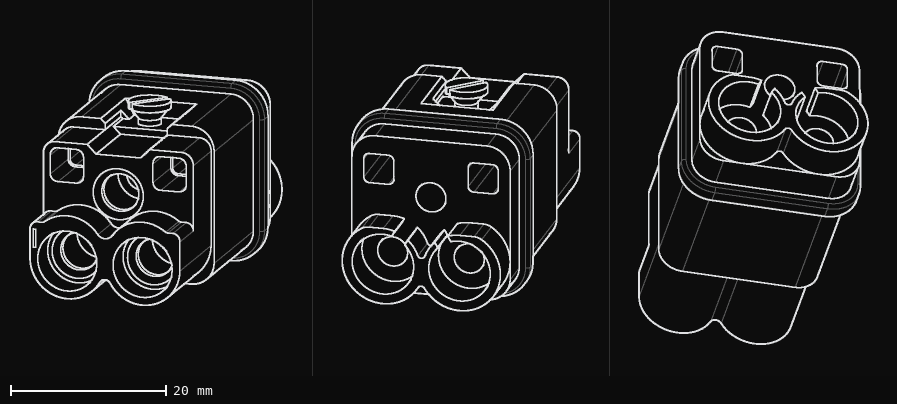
import cadquery as cq
import math

TOWER_FRONT_Y = 0.0
NECK_FRONT_Y = 5.6
BODY_FRONT_Y = 13.1
FLANGE_FRONT_Y = 29.6
FLANGE_LENGTH = 2.5
BODY_REAR_Y = 36.7
SHROUD_REAR_Y = 41.6

BODY_WIDTH = 21.1
BODY_CORNER_R = 3.1
FLANGE_WIDTH = 23.7
FLANGE_CORNER_R = BODY_CORNER_R + (FLANGE_WIDTH - BODY_WIDTH) / 2
FLANGE_EDGE_R = 0.5

CONTACT_X = 5.1
CONTACT_Z = -5.1
EARTH_Z = 2.8

NECK_HALF_WIDTH = 10.15
NECK_TOP_Z = 9.1
NECK_CORNER_R = 1.6
TOWER_R = NECK_HALF_WIDTH - CONTACT_X
TOWER_CROWN_CENTRE_Z = -4.1
SHOULDER_Z = -0.2
SHOULDER_CORNER_R = 1.0
SHOULDER_VALLEY_R = 0.5
TOP_VALLEY_R = 1.2
BOTTOM_VALLEY_R = 0.8

TOWER_BORE_D = 8.0
TOWER_BORE_FLOOR_Y = 4.2
FUNNEL_MOUTH_D = 6.8
THROAT_D = 5.0
FUNNEL_DEPTH = 0.85
THROAT_DEPTH = 0.9
CHAMBER_D = 6.4
CHAMBER_DEPTH = 8.0
THROUGH_D = 4.0

WINDOW_X = 6.95
WINDOW_Z = 6.05
WINDOW_MOUTH_WIDTH = 4.5
WINDOW_MOUTH_CORNER_R = 1.0
WINDOW_MOUTH_DEPTH = 7.5
WINDOW_WIDTH = 4.0
WINDOW_CORNER_R = 0.75

RECESS_REAR_Y = 23.55
RECESS_FLOOR_Z = 8.85
RECESS_FLOOR_HALF_WIDTH = 3.1
CHANNEL_REAR_Y = 19.75
CHANNEL_LEDGE_Y = 15.8
CHANNEL_FLOOR_Z = 7.9
CHANNEL_HALF_WIDTH = 4.2

SCREW_Y = 18.8
SCREW_TOP_Z = FLANGE_WIDTH / 2
SCREW_HEAD_D = 5.5
SCREW_HEAD_HEIGHT = 0.9
SCREW_CONE_D = 5.0
SCREW_CONE_HEIGHT = 1.35
SCREW_SHANK_D = 3.0
SCREW_EMBED = 0.5
SCREW_SLOT_WIDTH = 0.8
SCREW_SLOT_ANGLE = 45

SHROUD_R = BODY_WIDTH / 2 - CONTACT_X
SHROUD_TOP_Z = -0.2
SHROUD_EDGE_R = 1.9
SHROUD_INNER_R = SHROUD_TOP_Z - CONTACT_Z
SHROUD_VALLEY_R = 0.5
SHROUD_BORE_D = 8.2
SHROUD_SLOT_WIDTH = 2.0
SHROUD_SLOT_TILT = 30.5

BAR_X = -9.5
BAR_Z = -2.4
BAR_WIDTH = 0.35
BAR_LENGTH = 2.4
BAR_HEIGHT = 0.15

CUT_MARGIN = 2.0


def plane_at(y):
    """Sketch plane at station y: local x is X, local y is Z, extrusion runs toward +Y."""
    return cq.Workplane("XZ", origin=(0, y, 0))


def prism(sketch, length):
    return sketch.extrude(-length)


def cylinder(x, z, diameter, y_start, y_end):
    return prism(plane_at(y_start).center(x, z).circle(diameter / 2), y_end - y_start)


def rounded_square(x, z, width, corner_r, y_start, y_end):
    block = prism(plane_at(y_start).center(x, z).rect(width, width), y_end - y_start)
    return block.edges("|Y").fillet(corner_r)


def on_circle(centre, radius, degrees):
    """Point of a circle at an angle measured counterclockwise from +X."""
    angle = math.radians(degrees)
    return (centre[0] + radius * math.cos(angle), centre[1] + radius * math.sin(angle))


def valley(lobe_centre_x, lobe_centre_z, lobe_r, valley_r, side):
    """Fillet on the centre line between two mirrored lobes; side is +1 above, -1 below.

    Returns the tangent point on the +X lobe and the middle point of the fillet.
    """
    reach = lobe_r + valley_r
    rise = math.sqrt(reach**2 - lobe_centre_x**2)
    centre_z = lobe_centre_z + side * rise
    tangent = (lobe_centre_x * valley_r / reach, centre_z - side * rise * valley_r / reach)
    return tangent, (0, centre_z - side * valley_r)


def mirrored(point):
    return (-point[0], point[1])


def make_body():
    body = rounded_square(0, 0, BODY_WIDTH, BODY_CORNER_R, BODY_FRONT_Y, BODY_REAR_Y)
    flange_rear_y = FLANGE_FRONT_Y + FLANGE_LENGTH
    flange = rounded_square(0, 0, FLANGE_WIDTH, FLANGE_CORNER_R, FLANGE_FRONT_Y, flange_rear_y)
    flange = flange.faces("<Y or >Y").edges().fillet(FLANGE_EDGE_R)
    return body.union(flange)


def make_towers():
    """Twin-lobed outline with a square shoulder on each outer side, running back into the body."""
    crown = (CONTACT_X, TOWER_CROWN_CENTRE_Z)
    belly = (CONTACT_X, CONTACT_Z)
    top_tangent, top_middle = valley(*crown, TOWER_R, TOP_VALLEY_R, 1)
    bottom_tangent, bottom_middle = valley(*belly, TOWER_R, BOTTOM_VALLEY_R, -1)

    fillet_z = SHOULDER_Z + SHOULDER_VALLEY_R
    reach = TOWER_R + SHOULDER_VALLEY_R
    fillet_x = CONTACT_X + math.sqrt(reach**2 - (fillet_z - TOWER_CROWN_CENTRE_Z) ** 2)
    fillet_angle = math.degrees(math.atan2(fillet_z - TOWER_CROWN_CENTRE_Z, fillet_x - CONTACT_X))
    crown_end = on_circle(crown, TOWER_R, fillet_angle)
    fillet_middle_angle = (fillet_angle - 270) / 2
    fillet_middle = on_circle((fillet_x, fillet_z), SHOULDER_VALLEY_R, fillet_middle_angle)
    corner = (NECK_HALF_WIDTH - SHOULDER_CORNER_R, SHOULDER_Z - SHOULDER_CORNER_R)
    corner_middle = on_circle(corner, SHOULDER_CORNER_R, 45)

    outline = (
        plane_at(TOWER_FRONT_Y)
        .moveTo(*mirrored(top_tangent))
        .threePointArc(top_middle, top_tangent)
        .threePointArc((CONTACT_X, TOWER_CROWN_CENTRE_Z + TOWER_R), crown_end)
        .threePointArc(fillet_middle, (fillet_x, SHOULDER_Z))
        .lineTo(corner[0], SHOULDER_Z)
        .threePointArc(corner_middle, (NECK_HALF_WIDTH, corner[1]))
        .lineTo(NECK_HALF_WIDTH, CONTACT_Z)
        .threePointArc((CONTACT_X, CONTACT_Z - TOWER_R), bottom_tangent)
        .threePointArc(bottom_middle, mirrored(bottom_tangent))
        .threePointArc((-CONTACT_X, CONTACT_Z - TOWER_R), (-NECK_HALF_WIDTH, CONTACT_Z))
        .lineTo(-NECK_HALF_WIDTH, corner[1])
        .threePointArc(mirrored(corner_middle), (-corner[0], SHOULDER_Z))
        .lineTo(-fillet_x, SHOULDER_Z)
        .threePointArc(mirrored(fillet_middle), mirrored(crown_end))
        .threePointArc((-CONTACT_X, TOWER_CROWN_CENTRE_Z + TOWER_R), mirrored(top_tangent))
        .close()
    )
    return prism(outline, BODY_FRONT_Y - TOWER_FRONT_Y)


def make_neck():
    """Upper block between the tower step and the body; the towers close it below."""
    height = NECK_TOP_Z - CONTACT_Z
    centre_z = (NECK_TOP_Z + CONTACT_Z) / 2
    outline = plane_at(NECK_FRONT_Y).center(0, centre_z).rect(2 * NECK_HALF_WIDTH, height)
    neck = prism(outline, BODY_FRONT_Y - NECK_FRONT_Y)
    return neck.edges("|Y and >Z").fillet(NECK_CORNER_R)


def make_shroud():
    """Twin-lobed rear shroud with a flat top near each outer side."""
    lobe = (CONTACT_X, CONTACT_Z)
    top_tangent, top_middle = valley(*lobe, SHROUD_INNER_R, SHROUD_VALLEY_R, 1)
    bottom_tangent, bottom_middle = valley(*lobe, SHROUD_R, SHROUD_VALLEY_R, -1)

    edge_z = SHROUD_TOP_Z - SHROUD_EDGE_R
    reach = SHROUD_R - SHROUD_EDGE_R
    edge_x = CONTACT_X + math.sqrt(reach**2 - (edge_z - CONTACT_Z) ** 2)
    edge_angle = math.degrees(math.atan2(edge_z - CONTACT_Z, edge_x - CONTACT_X))
    edge_end = on_circle(lobe, SHROUD_R, edge_angle)
    edge_middle = on_circle((edge_x, edge_z), SHROUD_EDGE_R, (90 + edge_angle) / 2)
    inner_middle = on_circle(lobe, SHROUD_INNER_R, 120)
    outer_middle = on_circle(lobe, SHROUD_R, -45)

    outline = (
        plane_at(BODY_REAR_Y)
        .moveTo(*mirrored(top_tangent))
        .threePointArc(top_middle, top_tangent)
        .threePointArc(inner_middle, (CONTACT_X, SHROUD_TOP_Z))
        .lineTo(edge_x, SHROUD_TOP_Z)
        .threePointArc(edge_middle, edge_end)
        .threePointArc(outer_middle, bottom_tangent)
        .threePointArc(bottom_middle, mirrored(bottom_tangent))
        .threePointArc(mirrored(outer_middle), mirrored(edge_end))
        .threePointArc(mirrored(edge_middle), (-edge_x, SHROUD_TOP_Z))
        .lineTo(-CONTACT_X, SHROUD_TOP_Z)
        .threePointArc(mirrored(inner_middle), mirrored(top_tangent))
        .close()
    )
    return prism(outline, SHROUD_REAR_Y - BODY_REAR_Y)


def make_shroud_cavity(side):
    """Rear bore of one contact with the slot that opens it upward and inward."""
    x = side * CONTACT_X
    bore = cylinder(x, CONTACT_Z, SHROUD_BORE_D, BODY_REAR_Y, SHROUD_REAR_Y)
    slot_length = SHROUD_R + CUT_MARGIN
    slot_outline = plane_at(BODY_REAR_Y).center(0, slot_length / 2).rect(SHROUD_SLOT_WIDTH, slot_length)
    slot = prism(slot_outline, SHROUD_REAR_Y - BODY_REAR_Y)
    slot = slot.rotate((0, 0, 0), (0, 1, 0), -side * SHROUD_SLOT_TILT)
    return bore.union(slot.translate((x, 0, CONTACT_Z)))


def make_contact_passage(x, z, funnel_y):
    """Funnel from the given station, a throat, a wider chamber and a hole through to the rear."""
    throat_y = funnel_y + FUNNEL_DEPTH
    chamber_y = throat_y + THROAT_DEPTH
    through = cylinder(x, z, THROUGH_D, funnel_y, SHROUD_REAR_Y)
    throat = cylinder(x, z, THROAT_D, throat_y, chamber_y)
    chamber = cylinder(x, z, CHAMBER_D, chamber_y, chamber_y + CHAMBER_DEPTH)
    funnel = cq.Workplane(
        cq.Solid.makeCone(
            FUNNEL_MOUTH_D / 2, THROAT_D / 2, FUNNEL_DEPTH, pnt=(x, funnel_y, z), dir=(0, 1, 0)
        )
    )
    return through.union(throat).union(chamber).union(funnel)


def make_window(side):
    x = side * WINDOW_X
    mouth_end_y = NECK_FRONT_Y + WINDOW_MOUTH_DEPTH
    mouth = rounded_square(
        x, WINDOW_Z, WINDOW_MOUTH_WIDTH, WINDOW_MOUTH_CORNER_R, NECK_FRONT_Y, mouth_end_y
    )
    window = rounded_square(x, WINDOW_Z, WINDOW_WIDTH, WINDOW_CORNER_R, NECK_FRONT_Y, BODY_REAR_Y)
    return mouth.union(window)


def make_top_recess():
    """Pit with sloped sides and rear, open to the front."""
    rise = BODY_WIDTH / 2 - RECESS_FLOOR_Z
    floor_rear_y = RECESS_REAR_Y - rise
    top_half_width = RECESS_FLOOR_HALF_WIDTH + rise
    section = plane_at(BODY_FRONT_Y).polyline(
        [
            (-RECESS_FLOOR_HALF_WIDTH, RECESS_FLOOR_Z),
            (RECESS_FLOOR_HALF_WIDTH, RECESS_FLOOR_Z),
            (top_half_width, BODY_WIDTH / 2),
            (-top_half_width, BODY_WIDTH / 2),
        ]
    ).close()
    trough = prism(section, RECESS_REAR_Y - BODY_FRONT_Y)
    side_profile = cq.Workplane("YZ").polyline(
        [
            (BODY_FRONT_Y, RECESS_FLOOR_Z),
            (floor_rear_y, RECESS_FLOOR_Z),
            (RECESS_REAR_Y, BODY_WIDTH / 2),
            (BODY_FRONT_Y, BODY_WIDTH / 2),
        ]
    ).close()
    return trough.intersect(side_profile.extrude(top_half_width, both=True))


def make_channel(floor_z, rear_y):
    """Channel from the neck front to rear_y: 45 degree walls up to the neck top, upright above."""
    floor_half_width = CHANNEL_HALF_WIDTH - (NECK_TOP_Z - floor_z)
    wall_top_z = RECESS_FLOOR_Z + CHANNEL_HALF_WIDTH - RECESS_FLOOR_HALF_WIDTH
    section = plane_at(NECK_FRONT_Y).polyline(
        [
            (-floor_half_width, floor_z),
            (floor_half_width, floor_z),
            (CHANNEL_HALF_WIDTH, NECK_TOP_Z),
            (CHANNEL_HALF_WIDTH, wall_top_z),
            (-CHANNEL_HALF_WIDTH, wall_top_z),
            (-CHANNEL_HALF_WIDTH, NECK_TOP_Z),
        ]
    ).close()
    return prism(section, rear_y - NECK_FRONT_Y)


def make_screw():
    head_bottom_z = SCREW_TOP_Z - SCREW_HEAD_HEIGHT
    cone_bottom_z = head_bottom_z - SCREW_CONE_HEIGHT
    half_profile = cq.Workplane("XZ").polyline(
        [
            (0, RECESS_FLOOR_Z - SCREW_EMBED),
            (SCREW_SHANK_D / 2, RECESS_FLOOR_Z - SCREW_EMBED),
            (SCREW_SHANK_D / 2, cone_bottom_z),
            (SCREW_CONE_D / 2, head_bottom_z),
            (SCREW_HEAD_D / 2, head_bottom_z),
            (SCREW_HEAD_D / 2, SCREW_TOP_Z),
            (0, SCREW_TOP_Z),
        ]
    ).close()
    screw = half_profile.revolve(360, (0, 0, 0), (0, 1, 0))
    slot = (
        cq.Workplane("XY", origin=(0, 0, head_bottom_z))
        .rect(SCREW_HEAD_D + CUT_MARGIN, SCREW_SLOT_WIDTH)
        .extrude(SCREW_HEAD_HEIGHT)
        .rotate((0, 0, 0), (0, 0, 1), SCREW_SLOT_ANGLE)
    )
    return screw.cut(slot).translate((0, SCREW_Y, 0))


def make_index_bar():
    outline = plane_at(TOWER_FRONT_Y - BAR_HEIGHT).center(BAR_X, BAR_Z).rect(BAR_WIDTH, BAR_LENGTH)
    return prism(outline, BAR_HEIGHT)


part = make_body().union(make_neck()).union(make_towers()).union(make_shroud())

for side in (-1, 1):
    x = side * CONTACT_X
    part = part.cut(cylinder(x, CONTACT_Z, TOWER_BORE_D, TOWER_FRONT_Y, TOWER_BORE_FLOOR_Y))
    part = part.cut(make_contact_passage(x, CONTACT_Z, TOWER_BORE_FLOOR_Y))
    part = part.cut(make_shroud_cavity(side))
    part = part.cut(make_window(side))

part = part.cut(make_contact_passage(0, EARTH_Z, NECK_FRONT_Y))
part = part.cut(make_top_recess())
part = part.cut(make_channel(RECESS_FLOOR_Z, CHANNEL_REAR_Y))
part = part.cut(make_channel(CHANNEL_FLOOR_Z, CHANNEL_LEDGE_Y))
part = part.union(make_screw())
result = part.union(make_index_bar())